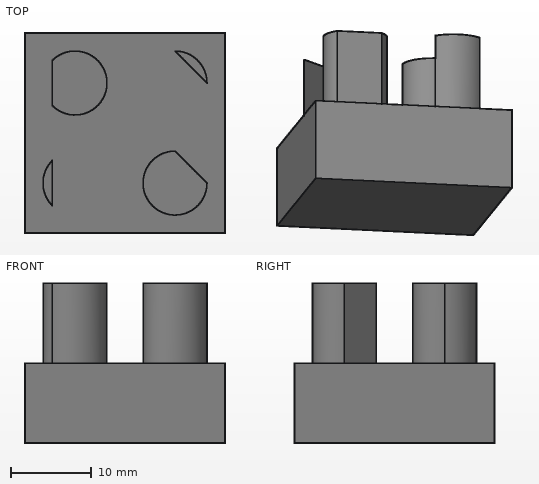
import cadquery as cq
import math

base_side = 25
base_height = 10

peg_radius = 4
peg_height = 10
peg_offset = base_side / 4
chord_half_angle = 45


def rim_point(center, angle):
    """Point on a peg's full circle at the given angle in degrees."""
    radians = math.radians(angle)
    return (
        center[0] + peg_radius * math.cos(radians),
        center[1] + peg_radius * math.sin(radians),
    )


def cut_peg(center, flat_angle, keep_major):
    """Peg with a flat centred on flat_angle, keeping the major or minor segment."""
    arc_middle = flat_angle + 180 if keep_major else flat_angle
    return (
        cq.Workplane("XY")
        .workplane(offset=base_height)
        .moveTo(*rim_point(center, flat_angle - chord_half_angle))
        .threePointArc(
            rim_point(center, arc_middle),
            rim_point(center, flat_angle + chord_half_angle),
        )
        .close()
        .extrude(peg_height)
    )


pegs = [
    ((-peg_offset, peg_offset), 180, True),
    ((-peg_offset, -peg_offset), 180, False),
    ((peg_offset, -peg_offset), 45, True),
    ((peg_offset, peg_offset), 45, False),
]

result = cq.Workplane("XY").box(base_side, base_side, base_height, centered=(True, True, False))
for center, flat_angle, keep_major in pegs:
    result = result.union(cut_peg(center, flat_angle, keep_major))